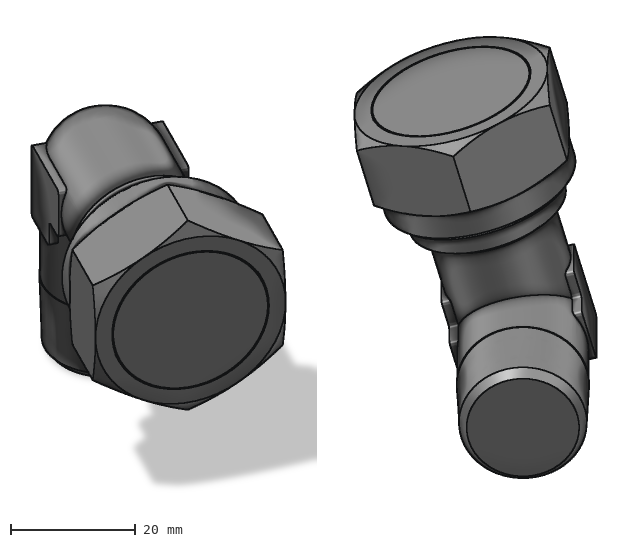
import cadquery as cq
import math


pipe_radius = 21.0 / 2

across_flats = 32.0
flat_radius = across_flats / 2
corner_radius = flat_radius / math.cos(math.radians(30))

overall_height = 52.45
spigot_bottom_z = corner_radius - overall_height
spigot_top_z = -20.1
spigot_top_radius = 21.25 / 2
spigot_end_radius = 20.5 / 2
spigot_tip_radius = 18.0 / 2
tip_chamfer_height = 1.55

overall_length = 54.6
nut_end_x = overall_length - spigot_top_radius
hex_start_x = 30.6
hex_chamfer = (corner_radius - flat_radius) * math.tan(math.radians(30))

skirt_radius = 31.8 / 2
skirt_start_x = 25.5
skirt_chamfer = 0.8
nut_bore_radius = 26.4 / 2

collar_radius = 26.0 / 2
collar_start_x = 19.95
collar_chamfer_length = 1.6

pad_half_width = 4.6
pad_reach = 9.45
pad_face_y = 11.0
pad_corner_radius = 0.75


def revolve_about_x(profile):
    """Turn a closed profile of (x, radius) points about the X axis."""
    return cq.Workplane("XY").polyline(profile).close().revolve(360, (0, 0, 0), (1, 0, 0))


def make_pads():
    """One L-shaped block whose two ends stand out of the pipe as the side pads."""
    outline = [
        (-pad_half_width, pad_half_width),
        (pad_reach, pad_half_width),
        (pad_reach, -pad_half_width),
        (pad_half_width, -pad_half_width),
        (pad_half_width, -pad_reach),
        (-pad_half_width, -pad_reach),
    ]
    block = cq.Workplane("XZ").polyline(outline).close().extrude(pad_face_y, both=True)
    return block.edges("|Y").fillet(pad_corner_radius)


def make_vertical_leg():
    """Straight pipe followed by the tapered spigot with its chamfered tip."""
    profile = [
        (0, 0),
        (pipe_radius, 0),
        (pipe_radius, spigot_top_z),
        (spigot_top_radius, spigot_top_z),
        (spigot_end_radius, spigot_bottom_z + tip_chamfer_height),
        (spigot_tip_radius, spigot_bottom_z),
        (0, spigot_bottom_z),
    ]
    return cq.Workplane("XZ").polyline(profile).close().revolve(360, (0, 0, 0), (0, 1, 0))


def make_horizontal_leg():
    """Straight pipe followed by the collar that runs through the nut."""
    return revolve_about_x([
        (0, 0),
        (0, pipe_radius),
        (collar_start_x, pipe_radius),
        (collar_start_x + collar_chamfer_length, collar_radius),
        (nut_end_x, collar_radius),
        (nut_end_x, 0),
    ])


def make_elbow():
    corner_ball = cq.Workplane("XY").sphere(pipe_radius)
    return make_vertical_leg().union(make_horizontal_leg()).union(corner_ball).union(make_pads())


def make_nut():
    """Hexagon with both ends turned to a cone, a round skirt and a plain bore."""
    hexagon = (
        cq.Workplane("YZ", origin=(hex_start_x, 0, 0))
        .polygon(6, 2 * corner_radius)
        .extrude(nut_end_x - hex_start_x)
        .rotate((0, 0, 0), (1, 0, 0), 30)
    )
    turned_envelope = revolve_about_x([
        (hex_start_x, 0),
        (hex_start_x, flat_radius),
        (hex_start_x + hex_chamfer, corner_radius),
        (nut_end_x - hex_chamfer, corner_radius),
        (nut_end_x, flat_radius),
        (nut_end_x, 0),
    ])
    skirt = revolve_about_x([
        (skirt_start_x, 0),
        (skirt_start_x, skirt_radius - skirt_chamfer),
        (skirt_start_x + skirt_chamfer, skirt_radius),
        (hex_start_x, skirt_radius),
        (hex_start_x, 0),
    ])
    bore = (
        cq.Workplane("YZ", origin=(skirt_start_x, 0, 0))
        .circle(nut_bore_radius)
        .extrude(nut_end_x - skirt_start_x)
    )
    return hexagon.intersect(turned_envelope).union(skirt).cut(bore)


elbow = make_elbow()
nut = make_nut()

result = cq.Compound.makeCompound([elbow.val(), nut.val()])